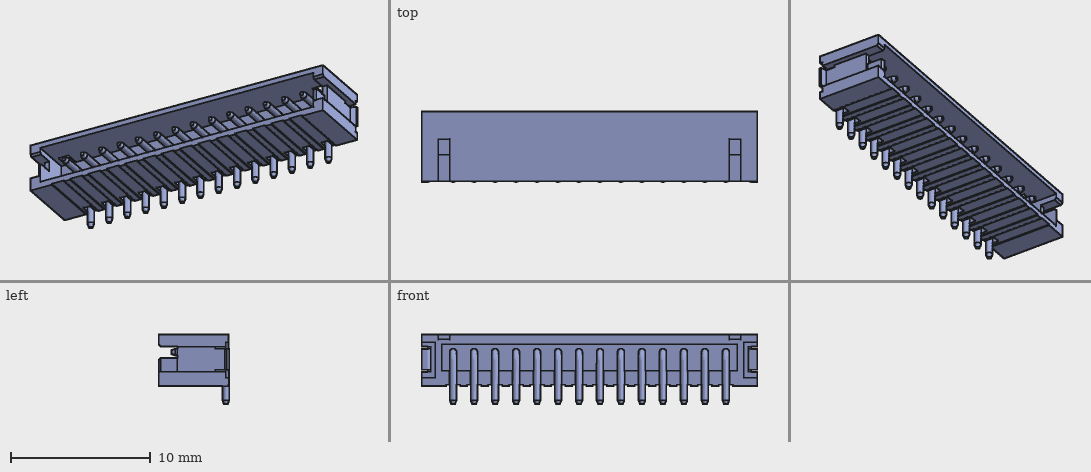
import cadquery as cq
import math

LENGTH = 24.0
DEPTH = 5.0
HEIGHT = 3.7
HALF_LENGTH = LENGTH / 2
FRONT_OVERHANG = 0.05

PIN_COUNT = 14
PIN_PITCH = 1.5
PIN_RADIUS = 0.25
PIN_TIP_RADIUS = 0.14
PIN_TIP_LENGTH = 0.3
PIN_BEND_RADIUS = 0.6
PIN_LEG_Y = PIN_RADIUS - FRONT_OVERHANG
PIN_AXIS_Z = 2.42
PIN_BOTTOM_Z = -1.3
PIN_END_Y = 4.1
pin_positions = [(i - (PIN_COUNT - 1) / 2) * PIN_PITCH for i in range(PIN_COUNT)]

CAVITY_WALL = 0.8
CAVITY_FRONT_Y = 1.92
CAVITY_BOTTOM_Z = 0.5
CAVITY_TOP_Z = 3.28

WINDOW_MARGIN = 1.45
WINDOW_BOTTOM_Z = 1.1
WINDOW_TOP_Z = 2.98
WINDOW_DEPTH = 0.8
CHANNEL_WIDTH = 0.54

GROOVE_WIDTH = 1.0
GROOVE_DEPTH = 0.08

SLOT_OFFSET = 1.2
SLOT_WIDTH = 0.8
SLOT_DEPTH = 0.36
SLOT_LENGTH = 3.02

SIDE_DEPTH = 0.42
SIDE_BOTTOM_Z = 1.01
SIDE_TOP_Z = 2.81

SLIT_HEIGHT = 0.15
SLIT_LENGTH = 0.95
HOOK_INNER = 0.65
HOOK_LENGTH = 0.26
HOOK_FACE_LENGTH = 0.12
POCKET_WIDTH = 0.96
POCKET_DEPTH = 0.2
POCKET_BOTTOM_Z = 0.59
POCKET_TOP_Z = 3.13

NOTCH_FRONT_Y = 3.66
NOTCH_BOTTOM_Z = 2.02
LEAD_IN = 0.15
WALL_STEP = 0.2


def box(x_range, y_range, z_range):
    """Block spanning the given X, Y and Z ranges."""
    x_span, y_span, z_span = [high - low for low, high in (x_range, y_range, z_range)]
    return (
        cq.Workplane("XY")
        .box(x_span, y_span, z_span, centered=False)
        .translate((x_range[0], y_range[0], z_range[0]))
    )


def both_ends(left_shape):
    """Shape at the left end together with its mirror image at the right end."""
    return left_shape.union(left_shape.mirror("YZ"))


def end_range(inner, outer=0.0):
    """X range at the left end, measured inward from the end face."""
    return (-HALF_LENGTH + outer, -HALF_LENGTH + inner)


def cut_cavity(body):
    """Space for the mating plug, entered from the back."""
    half_width = HALF_LENGTH - CAVITY_WALL
    cavity = box((-half_width, half_width), (CAVITY_FRONT_Y, DEPTH), (CAVITY_BOTTOM_Z, CAVITY_TOP_Z))
    return body.cut(cavity)


def cut_front_window(body):
    """Window for the bends, with a leg channel and a shallow underside groove at every contact."""
    half_width = HALF_LENGTH - WINDOW_MARGIN
    body = body.cut(box((-half_width, half_width), (0, WINDOW_DEPTH), (WINDOW_BOTTOM_Z, WINDOW_TOP_Z)))
    for x in pin_positions:
        channel_x = (x - CHANNEL_WIDTH / 2, x + CHANNEL_WIDTH / 2)
        body = body.cut(box(channel_x, (0, WINDOW_DEPTH), (0, WINDOW_BOTTOM_Z)))
        groove_x = (x - GROOVE_WIDTH / 2, x + GROOVE_WIDTH / 2)
        body = body.cut(box(groove_x, (0, DEPTH), (0, GROOVE_DEPTH)))
    return body


def cut_top_slots(body):
    """Slots from the front edge that break through the roof where they reach the cavity."""
    slot_x = end_range(SLOT_OFFSET + SLOT_WIDTH, SLOT_OFFSET)
    shallow = box(slot_x, (0, SLOT_LENGTH), (HEIGHT - SLOT_DEPTH, HEIGHT))
    opening = box(slot_x, (CAVITY_FRONT_Y, SLOT_LENGTH), (CAVITY_TOP_Z, HEIGHT))
    return body.cut(both_ends(shallow.union(opening)))


def cut_end_channels(body):
    """Channel along each end, with a front pocket and the slits above and below the hook."""
    channel = box(end_range(SIDE_DEPTH), (0, DEPTH), (SIDE_BOTTOM_Z, SIDE_TOP_Z))
    pocket = box(end_range(POCKET_WIDTH), (0, POCKET_DEPTH), (POCKET_BOTTOM_Z, POCKET_TOP_Z))
    slit_x = end_range(HOOK_INNER)
    lower_slit = box(slit_x, (0, SLIT_LENGTH), (SIDE_BOTTOM_Z, SIDE_BOTTOM_Z + SLIT_HEIGHT))
    upper_slit = box(slit_x, (0, SLIT_LENGTH), (SIDE_TOP_Z - SLIT_HEIGHT, SIDE_TOP_Z))
    return body.cut(both_ends(channel.union(pocket).union(lower_slit).union(upper_slit)))


def add_hooks(body):
    """Barbed hook filling each end channel between the slits, rounded on its inner front edge."""
    round_radius = HOOK_INNER - SIDE_DEPTH
    round_centre_y = round_radius - FRONT_OVERHANG
    diagonal = round_radius * math.sqrt(0.5)
    hook = (
        cq.Workplane("XY", origin=(-HALF_LENGTH, 0, SIDE_BOTTOM_Z + SLIT_HEIGHT))
        .moveTo(0, -FRONT_OVERHANG)
        .lineTo(SIDE_DEPTH, -FRONT_OVERHANG)
        .threePointArc((SIDE_DEPTH + diagonal, round_centre_y - diagonal), (HOOK_INNER, round_centre_y))
        .lineTo(HOOK_INNER, HOOK_LENGTH)
        .lineTo(SIDE_DEPTH, HOOK_LENGTH)
        .lineTo(0, HOOK_FACE_LENGTH)
        .close()
        .extrude(SIDE_TOP_Z - SIDE_BOTTOM_Z - 2 * SLIT_HEIGHT)
    )
    return body.union(both_ends(hook))


def cut_end_notches(body):
    """Open the end walls at the back and step their outer faces inward, flaring at the mouth."""
    notch = (
        cq.Workplane("YZ", origin=(-HALF_LENGTH, 0, 0))
        .polyline([
            (NOTCH_FRONT_Y, NOTCH_BOTTOM_Z),
            (DEPTH - LEAD_IN, NOTCH_BOTTOM_Z),
            (DEPTH, NOTCH_BOTTOM_Z - LEAD_IN),
            (DEPTH, SIDE_TOP_Z + LEAD_IN),
            (DEPTH - LEAD_IN, SIDE_TOP_Z),
            (NOTCH_FRONT_Y, SIDE_TOP_Z),
        ])
        .close()
        .extrude(CAVITY_WALL)
    )
    wall_step = (
        cq.Workplane("XY", origin=(-HALF_LENGTH + SIDE_DEPTH, 0, SIDE_BOTTOM_Z))
        .polyline([
            (0, NOTCH_FRONT_Y),
            (WALL_STEP, NOTCH_FRONT_Y),
            (WALL_STEP, DEPTH - LEAD_IN),
            (WALL_STEP + LEAD_IN, DEPTH),
            (0, DEPTH),
        ])
        .close()
        .extrude(SIDE_TOP_Z - SIDE_BOTTOM_Z)
    )
    return body.cut(both_ends(notch.union(wall_step)))


def make_pin():
    """Right-angle round contact at X = 0 with tapered ends."""
    diagonal = PIN_BEND_RADIUS * math.sqrt(0.5)
    bend_y = PIN_LEG_Y + PIN_BEND_RADIUS
    bend_z = PIN_AXIS_Z - PIN_BEND_RADIUS
    leg_start_z = PIN_BOTTOM_Z + PIN_TIP_LENGTH
    path = (
        cq.Workplane("YZ")
        .moveTo(PIN_LEG_Y, leg_start_z)
        .lineTo(PIN_LEG_Y, bend_z)
        .threePointArc((bend_y - diagonal, bend_z + diagonal), (bend_y, PIN_AXIS_Z))
        .lineTo(PIN_END_Y - PIN_TIP_LENGTH, PIN_AXIS_Z)
    )
    wire = cq.Workplane("XY", origin=(0, PIN_LEG_Y, leg_start_z)).circle(PIN_RADIUS).sweep(path)
    leg_tip = cq.Solid.makeCone(
        PIN_RADIUS, PIN_TIP_RADIUS, PIN_TIP_LENGTH,
        cq.Vector(0, PIN_LEG_Y, leg_start_z), cq.Vector(0, 0, -1),
    )
    mating_tip = cq.Solid.makeCone(
        PIN_RADIUS, PIN_TIP_RADIUS, PIN_TIP_LENGTH,
        cq.Vector(0, PIN_END_Y - PIN_TIP_LENGTH, PIN_AXIS_Z), cq.Vector(0, 1, 0),
    )
    return wire.union(cq.Workplane(leg_tip)).union(cq.Workplane(mating_tip))


def add_pins(body):
    pin = make_pin()
    for x in pin_positions:
        body = body.union(pin.translate((x, 0, 0)))
    return body


housing = box((-HALF_LENGTH, HALF_LENGTH), (0, DEPTH), (0, HEIGHT))
housing = cut_cavity(housing)
housing = cut_front_window(housing)
housing = cut_top_slots(housing)
housing = cut_end_channels(housing)
housing = cut_end_notches(housing)
housing = add_hooks(housing)
result = add_pins(housing)